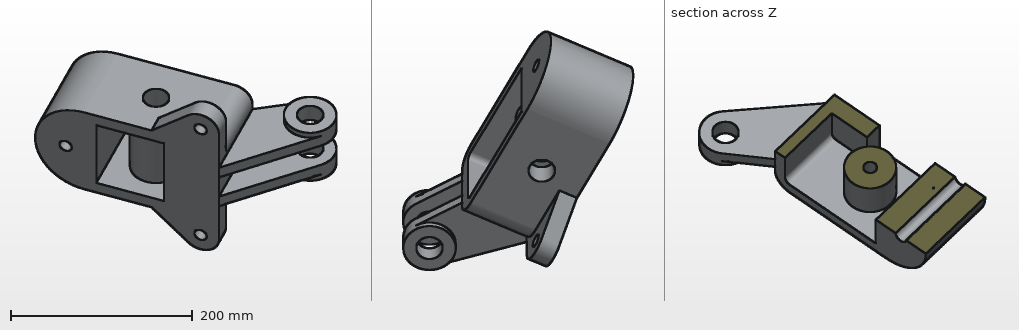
import cadquery as cq
import math

total_length = 311.7
module = total_length / 21.5

body_length = 15 * module
body_depth = 7 * module
body_radius = 4 * module
corner_radius = 1.5 * module

plate_thickness = 1.5 * module
ear_radius = 1.5 * module
ear_x = body_length - ear_radius
ear_z = 5.5 * module
ear_root_x = 9.5 * module
bolt_diameter = module
nose_bolt_x = 2.5 * module

wall_thickness = module
cavity_corner_radius = corner_radius - wall_thickness
cavity_half_height = body_radius - wall_thickness
cavity_right = body_length - wall_thickness
window_left = 5 * module
window_right = 10.5 * module

roller_x = 8.5 * module
roller_y = body_depth / 2
roller_radius = 2 * module
roller_bore = module
counterbore_diameter = 2 * module
counterbore_depth = 2 * module

lug_inner_z = module
lug_thickness = module
boss_height = 1.5 * module
boss_radius = 2 * module
boss_x = total_length - boss_radius
boss_y = 7.5 * module
boss_bore = 2 * module


def tangent_point(start, centre, radius, side):
    """Point where a line from start touches a circle; side +1 is left of travel, -1 is right."""
    dx = centre[0] - start[0]
    dy = centre[1] - start[1]
    distance = math.hypot(dx, dy)
    angle = math.atan2(dy, dx) + side * math.asin(radius / distance)
    reach = math.sqrt(distance**2 - radius**2)
    return start[0] + reach * math.cos(angle), start[1] + reach * math.sin(angle)


def along_y(y):
    """Sketch plane with X right and Z up; a negative extrusion goes toward +Y."""
    return cq.Workplane("XZ", origin=(0, y, 0))


def make_body():
    block = (
        along_y(0)
        .center((body_radius + body_length) / 2, 0)
        .rect(body_length - body_radius, 2 * body_radius)
        .extrude(-body_depth)
        .edges("|Y and >X")
        .fillet(corner_radius)
    )
    nose = along_y(0).center(body_radius, 0).circle(body_radius).extrude(-body_depth)
    return block.union(nose)


def make_plate():
    root = (ear_root_x, body_radius)
    touch = tangent_point(root, (ear_x, ear_z), ear_radius, 1)
    half_turn = math.atan2(touch[1] - ear_z, touch[0] - ear_x) / 2
    middle = (ear_x + ear_radius * math.cos(half_turn), ear_z + ear_radius * math.sin(half_turn))
    return (
        along_y(0)
        .moveTo(*root)
        .lineTo(*touch)
        .threePointArc(middle, (body_length, ear_z))
        .lineTo(body_length, -ear_z)
        .threePointArc((middle[0], -middle[1]), (touch[0], -touch[1]))
        .lineTo(root[0], -root[1])
        .close()
        .extrude(-plate_thickness)
    )


def make_cavity():
    window = (
        along_y(0)
        .center((window_left + window_right) / 2, 0)
        .rect(window_right - window_left, 2 * cavity_half_height)
        .extrude(-body_depth)
    )
    rear = (
        along_y(plate_thickness)
        .center((window_left + cavity_right) / 2, 0)
        .rect(cavity_right - window_left, 2 * cavity_half_height)
        .extrude(plate_thickness - body_depth)
        .edges("|Y and >X")
        .fillet(cavity_corner_radius)
    )
    return window.union(rear)


def make_bolt_holes():
    centres = [(nose_bolt_x, 0), (ear_x, ear_z), (ear_x, -ear_z)]
    return along_y(0).pushPoints(centres).circle(bolt_diameter / 2).extrude(-body_depth)


def vertical_cylinder(x, y, radius, bottom, top):
    return cq.Workplane("XY", origin=(x, y, bottom)).circle(radius).extrude(top - bottom)


def make_lug():
    centre = (boss_x, boss_y)
    front = tangent_point((body_length, 0), centre, boss_radius, -1)
    rear = tangent_point((body_length, body_depth), centre, boss_radius, 1)
    arm = (
        cq.Workplane("XY", origin=(0, 0, lug_inner_z))
        .polyline([(body_length, 0), front, centre, rear, (body_length, body_depth)])
        .close()
        .extrude(lug_thickness)
    )
    boss_top = lug_inner_z + boss_height
    boss = vertical_cylinder(boss_x, boss_y, boss_radius, lug_inner_z, boss_top)
    bore = vertical_cylinder(boss_x, boss_y, boss_bore / 2, lug_inner_z, boss_top)
    return arm.union(boss).cut(bore)


def make_roller_holes():
    bore = vertical_cylinder(roller_x, roller_y, roller_bore / 2, -body_radius, body_radius)
    counterbore = vertical_cylinder(
        roller_x, roller_y, counterbore_diameter / 2, body_radius - counterbore_depth, body_radius
    )
    return bore.union(counterbore).union(counterbore.mirror("XY"))


result = make_body().union(make_plate()).cut(make_cavity()).cut(make_bolt_holes())

roller = vertical_cylinder(roller_x, roller_y, roller_radius, -cavity_half_height, cavity_half_height)
result = result.union(roller).cut(make_roller_holes())

upper_lug = make_lug()
result = result.union(upper_lug).union(upper_lug.mirror("XY"))